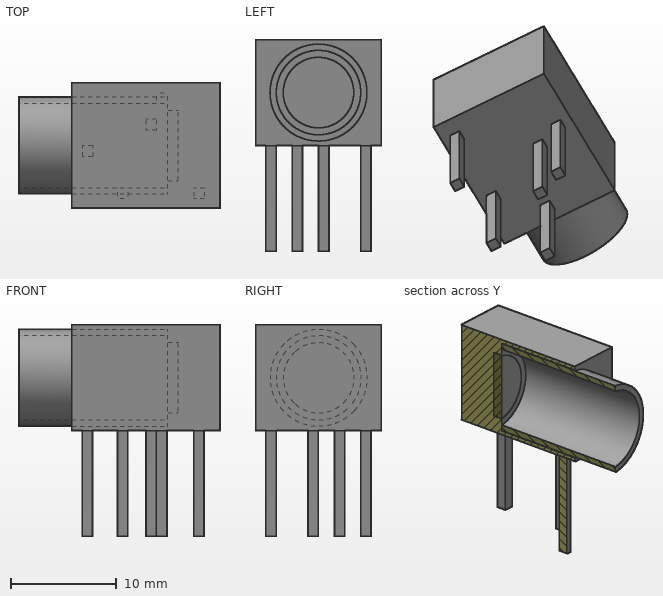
import cadquery as cq

housing_length = 14.02
housing_width = 11.85
housing_height = 10.02
axis_height = housing_height / 2

sleeve_projection = 5.0
sleeve_diameter = 9.15
bore_diameter = 7.98
socket_depth = 9.0

contact_diameter = 6.65
contact_thickness = 1.0

pin_side = 1.0
pin_length = 9.98
outer_pin_y = 4.48
middle_pin_x = 7.5
pin_centers = [
    (1.48, -0.5),
    (4.8, -outer_pin_y),
    (middle_pin_x, 2.0),
    (middle_pin_x + pin_side, outer_pin_y),
    (12.0, -outer_pin_y),
]


def cylinder_along_x(start_x, length, diameter):
    """Cylinder on the socket axis, running from start_x toward +X."""
    return (
        cq.Workplane("YZ", origin=(start_x, 0, axis_height))
        .circle(diameter / 2)
        .extrude(length)
    )


def make_housing():
    """Block with a blind socket for the sleeve and a smaller recess in the socket's floor."""
    block = cq.Workplane("XY").box(
        housing_length, housing_width, housing_height, centered=(False, True, False)
    )
    sleeve_socket = cylinder_along_x(0, socket_depth, sleeve_diameter)
    contact_recess = cylinder_along_x(socket_depth, contact_thickness, contact_diameter)
    return block.cut(sleeve_socket).cut(contact_recess)


def make_sleeve():
    """Tube that stands out of the front face and reaches the socket's floor."""
    tube_length = sleeve_projection + socket_depth
    tube = cylinder_along_x(-sleeve_projection, tube_length, sleeve_diameter)
    return tube.cut(cylinder_along_x(-sleeve_projection, tube_length, bore_diameter))


def make_contact():
    """Disc that fills the recess in the socket's floor."""
    return cylinder_along_x(socket_depth, contact_thickness, contact_diameter)


def make_pin(x, y):
    """Square pin centred at (x, y), ending at the housing's underside."""
    return (
        cq.Workplane("XY", origin=(x, y, -pin_length))
        .rect(pin_side, pin_side)
        .extrude(pin_length)
    )


housing = make_housing()
sleeve = make_sleeve()
contact = make_contact()
pins = [make_pin(x, y) for x, y in pin_centers]

result = cq.Compound.makeCompound(
    [housing.val(), sleeve.val(), contact.val(), *[pin.val() for pin in pins]]
)